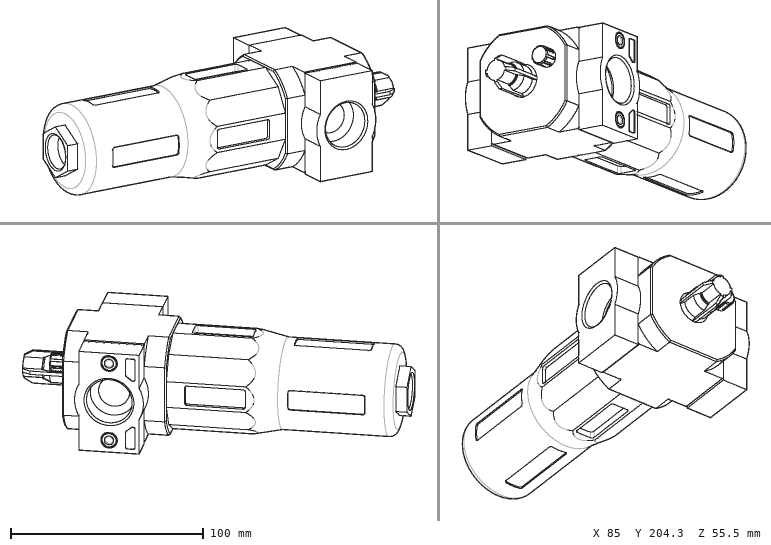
import cadquery as cq
import math


OVERALL_LENGTH = 204.3

HOUSING_SIDE = 55.0
HOUSING_HALF = HOUSING_SIDE / 2
FLAT_HALF = 15.1
EDGE_CHAMFER = 0.8
FLOW_BORE_D = 16.3

OVERALL_WIDTH = 85.0
OVERALL_HEIGHT = 55.5
CONNECTOR_LENGTH = OVERALL_WIDTH / 2 - HOUSING_HALF
CONNECTOR_HALF_WIDTH = 16.0
CONNECTOR_TOP = 27.2
CONNECTOR_BOTTOM = HOUSING_HALF - OVERALL_HEIGHT
COLLAR_D = 36.4
PORT_D = 24.1
PORT_MOUTH_D = 26.4
PORT_DEPTH = 12.3
SEAL_RECESS_D = 29.6

SCREW_OFFSET = 21.5
SCREW_D = 8.5
SCREW_HEAD_D = 7.5
SCREW_HEAD_HEIGHT = 1.0
SCREW_LENGTH = 10.2
SOCKET_D = 5.0
SOCKET_DRILL_D = 3.9
SOCKET_DRILL_DEPTH = 3.0

PLATE_NEAR_Y = -8.8
PLATE_FAR_Y = -13.7
PLATE_TIP_Y = -12.0
PLATE_TOP = 24.7
PLATE_SHOULDER = 15.1
PLATE_TIP = 12.5
PLATE_CORNER_R = 0.8
PLATE_DEPTH = 0.5

GUARD_SIDES = 12
GUARD_FLAT_HALF = 26.8
GUARD_CORNER_R = GUARD_FLAT_HALF / math.cos(math.pi / GUARD_SIDES)
GUARD_D = 48.5
GRIP_END = -69.5
TAPER_END = -85.8
GUARD_END = -146.0
GUARD_END_FILLET = 4.0
WINDOW_WIDTH = 10.8
WINDOW_CORNER_R = 1.2
GRIP_WINDOW = (-69.3, -37.2)
SHELL_WINDOW = (-131.8, -91.1)
POCKET_DEPTH = 2.0

BOWL_D = 46.8
BOWL_END = GUARD_END + GUARD_END_FILLET
HEX_FLATS = 24.1
HEX_END = -152.0
DRAIN_D = 18.0
DRAIN_MOUTH_D = 19.8
DRAIN_DEPTH = 7.2

DOME_TOP = OVERALL_LENGTH + HEX_END
FIN_WIDTH = 18.0
FIN_THICKNESS = 1.8
FIN_CHAMFER_X = 2.7
FIN_CHAMFER_Y = 4.5
DOME_FOOT_R = 8.8
DOME_R = 7.8
DOME_NECK_R = 6.1
STEM_R = 5.5
FOOT_TOP = 29.8
DOME_SHOULDER = 37.5
DOME_NECK = 41.0
NECK_TOP = 41.9

FILLER_X = -15.7
FILLER_Z = 9.8
FILLER_D = 10.0
FILLER_TOP = 35.3
FILLER_CHAMFER = 0.6
GROOVE_COUNT = 8
GROOVE_START_ANGLE = 30
GROOVE_WIDTH = 1.2
GROOVE_DEPTH = 0.6
GROOVE_BASE_GAP = 1.0
GROOVE_FLOOR = HOUSING_HALF + GROOVE_BASE_GAP


def x_cylinder(diameter, x_start, x_end, y=0, z=0):
    """Cylinder along X between two stations."""
    return (
        cq.Workplane("YZ", origin=(x_start, y, z))
        .circle(diameter / 2)
        .extrude(x_end - x_start)
    )


def x_cone(diameter_start, diameter_end, x_start, x_end, y=0, z=0):
    """Cone along +X between two stations."""
    return cq.Workplane(
        cq.Solid.makeCone(
            diameter_start / 2,
            diameter_end / 2,
            x_end - x_start,
            cq.Vector(x_start, y, z),
            cq.Vector(1, 0, 0),
        )
    )


def y_turned(profile):
    """Solid turned about the Y axis from (radius, y) points."""
    return cq.Workplane("XY").polyline(profile).close().revolve(360, (0, 0, 0), (0, 1, 0))


def y_prism(sketch, y_start, y_end):
    """Prism along Y; the sketch callback draws on a plane whose axes are X and Z."""
    plane = cq.Workplane("XZ", origin=(0, y_end, 0))
    return sketch(plane).extrude(y_end - y_start)


def make_housing():
    side = HOUSING_SIDE
    corner_r = math.hypot(HOUSING_HALF, FLAT_HALF)
    rounded = (
        cq.Workplane("XY")
        .box(side, side, side)
        .intersect(y_prism(lambda p: p.circle(corner_r), -HOUSING_HALF, HOUSING_HALF))
        .faces("<Y or >Y")
        .chamfer(EDGE_CHAMFER)
    )
    band = (
        cq.Workplane("XY")
        .box(side, 2 * CONNECTOR_HALF_WIDTH, side)
        .edges("|Y")
        .chamfer(EDGE_CHAMFER)
    )
    bore = x_cylinder(FLOW_BORE_D, -HOUSING_HALF, HOUSING_HALF)
    return rounded.union(band).cut(bore)


def plate_recess():
    """Engraved plate outline at the outer face of the -X connector, above the port."""
    return (
        cq.Workplane("YZ", origin=(-OVERALL_WIDTH / 2, 0, 0))
        .moveTo(PLATE_NEAR_Y, PLATE_TOP)
        .lineTo(PLATE_FAR_Y, PLATE_TOP)
        .lineTo(PLATE_FAR_Y, PLATE_TIP)
        .lineTo(PLATE_TIP_Y, PLATE_TIP)
        .lineTo(PLATE_NEAR_Y, PLATE_SHOULDER)
        .close()
        .extrude(PLATE_DEPTH)
        .edges("|X")
        .fillet(PLATE_CORNER_R)
    )


def make_plain_connector():
    """Connector on the -X side with its collar and threaded port."""
    outer = -OVERALL_WIDTH / 2
    inner = -HOUSING_HALF
    block = cq.Workplane("XY").box(
        CONNECTOR_LENGTH,
        2 * CONNECTOR_HALF_WIDTH,
        CONNECTOR_TOP - CONNECTOR_BOTTOM,
    )
    block = block.translate(((outer + inner) / 2, 0, (CONNECTOR_TOP + CONNECTOR_BOTTOM) / 2))
    mouth_depth = (PORT_MOUTH_D - PORT_D) / 2
    return (
        block.union(x_cylinder(COLLAR_D, outer, inner))
        .cut(x_cylinder(PORT_D, outer, outer + PORT_DEPTH))
        .cut(x_cylinder(SEAL_RECESS_D, outer + PORT_DEPTH, inner))
        .cut(x_cone(PORT_MOUTH_D, PORT_D, outer, outer + mouth_depth))
    )


def make_inlet_connector():
    """The -X connector, with screw holes and number plates."""
    outer = -OVERALL_WIDTH / 2
    connector = make_plain_connector()
    for z in (SCREW_OFFSET, -SCREW_OFFSET):
        connector = connector.cut(x_cylinder(SCREW_D, outer, outer + SCREW_LENGTH, z=z))
    upper_plate = plate_recess()
    lower_plate = upper_plate.mirror("XY").translate((0, 0, CONNECTOR_TOP + CONNECTOR_BOTTOM))
    return connector.cut(upper_plate).cut(lower_plate)


def make_outlet_connector():
    return make_plain_connector().mirror("YZ")


def make_screw(z):
    """Flush connector screw with a narrower head and a conical socket."""
    face = -OVERALL_WIDTH / 2
    shoulder = face + SCREW_HEAD_HEIGHT
    drill_start = face + (SOCKET_D - SOCKET_DRILL_D) / 2
    return (
        x_cylinder(SCREW_D, shoulder, face + SCREW_LENGTH, z=z)
        .union(x_cylinder(SCREW_HEAD_D, face, shoulder, z=z))
        .cut(x_cone(SOCKET_D, SOCKET_DRILL_D, face, drill_start, z=z))
        .cut(x_cone(SOCKET_DRILL_D, 0, drill_start, drill_start + SOCKET_DRILL_DEPTH, z=z))
    )


def hex_drain(y_start):
    """Hexagonal drain boss with corners up and down."""
    return y_prism(
        lambda p: p.transformed(rotate=(0, 0, 90)).polygon(6, HEX_FLATS / math.cos(math.pi / 6)),
        HEX_END,
        y_start,
    )


def make_bowl():
    body = y_prism(lambda p: p.circle(BOWL_D / 2), BOWL_END, -HOUSING_HALF)
    mouth_depth = (DRAIN_MOUTH_D - DRAIN_D) / 2
    drain = y_turned(
        [
            (0, HEX_END),
            (DRAIN_MOUTH_D / 2, HEX_END),
            (DRAIN_D / 2, HEX_END + mouth_depth),
            (DRAIN_D / 2, HEX_END + DRAIN_DEPTH),
            (0, HEX_END + DRAIN_DEPTH),
        ]
    )
    return body.union(hex_drain(BOWL_END)).cut(drain)


def window_cutter(span, floor, angle):
    """Rounded slot cut inwards to a floor height, turned about Y from the +Z side."""
    y_low, y_high = span
    window = (
        cq.Workplane("XY", origin=(0, (y_low + y_high) / 2, floor))
        .rect(WINDOW_WIDTH, y_high - y_low)
        .extrude(GUARD_CORNER_R - floor)
        .edges("|Z")
        .fillet(WINDOW_CORNER_R)
    )
    return window.rotate((0, 0, 0), (0, 1, 0), angle)


def make_guard():
    """Guard sleeve: twelve-sided grip tapering into a round shell with a filleted end."""
    grip = y_prism(
        lambda p: p.transformed(rotate=(0, 0, 180 / GUARD_SIDES)).polygon(GUARD_SIDES, 2 * GUARD_CORNER_R),
        GUARD_END,
        -HOUSING_HALF,
    )
    shell = y_turned(
        [
            (0, -HOUSING_HALF),
            (GUARD_CORNER_R, -HOUSING_HALF),
            (GUARD_CORNER_R, GRIP_END),
            (GUARD_D / 2, TAPER_END),
            (GUARD_D / 2, GUARD_END),
            (0, GUARD_END),
        ]
    )
    shell = shell.faces("<Y").edges().fillet(GUARD_END_FILLET)
    guard = (
        grip.intersect(shell)
        .cut(y_prism(lambda p: p.circle(BOWL_D / 2), BOWL_END, -HOUSING_HALF))
        .cut(hex_drain(BOWL_END))
    )
    for angle in (0, 180):
        guard = guard.cut(window_cutter(GRIP_WINDOW, 0, angle))
    for angle in (90, 270):
        guard = guard.cut(window_cutter(GRIP_WINDOW, GUARD_FLAT_HALF - POCKET_DEPTH, angle))
    for angle in (0, 90, 180, 270):
        guard = guard.cut(window_cutter(SHELL_WINDOW, 0, angle))
    return guard


def make_sight_dome():
    """Stepped dome with four guard fins in a cross."""
    dome = y_turned(
        [
            (0, HOUSING_HALF),
            (DOME_FOOT_R, HOUSING_HALF),
            (DOME_R, FOOT_TOP),
            (DOME_R, DOME_SHOULDER),
            (DOME_NECK_R, DOME_NECK),
            (DOME_NECK_R, NECK_TOP),
            (STEM_R, NECK_TOP),
            (STEM_R, DOME_TOP),
            (0, DOME_TOP),
        ]
    )
    half = FIN_WIDTH / 2
    fins = (
        cq.Workplane("XY")
        .moveTo(-half, HOUSING_HALF)
        .lineTo(half, HOUSING_HALF)
        .lineTo(half, DOME_TOP - FIN_CHAMFER_Y)
        .lineTo(half - FIN_CHAMFER_X, DOME_TOP)
        .lineTo(FIN_CHAMFER_X - half, DOME_TOP)
        .lineTo(-half, DOME_TOP - FIN_CHAMFER_Y)
        .close()
        .extrude(FIN_THICKNESS / 2, both=True)
    )
    return dome.union(fins).union(fins.rotate((0, 0, 0), (0, 1, 0), 90))


def make_filler_screw():
    """Round screw with grip grooves that run out at its top."""
    head = (
        y_prism(lambda p: p.circle(FILLER_D / 2), HOUSING_HALF, FILLER_TOP)
        .faces(">Y")
        .chamfer(FILLER_CHAMFER)
    )
    groove = cq.Workplane("XY").box(
        GROOVE_WIDTH,
        FILLER_TOP - GROOVE_FLOOR,
        2 * GROOVE_DEPTH,
    )
    groove = groove.translate((0, (FILLER_TOP + GROOVE_FLOOR) / 2, FILLER_D / 2))
    for index in range(GROOVE_COUNT):
        angle = GROOVE_START_ANGLE + index * 360 / GROOVE_COUNT
        head = head.cut(groove.rotate((0, 0, 0), (0, 1, 0), angle))
    return head.translate((FILLER_X, 0, FILLER_Z))


housing = make_housing()
inlet_connector = make_inlet_connector()
outlet_connector = make_outlet_connector()
screws = [make_screw(z) for z in (SCREW_OFFSET, -SCREW_OFFSET)]
bowl = make_bowl()
guard = make_guard()
sight_dome = make_sight_dome()
filler_screw = make_filler_screw()

result = cq.Compound.makeCompound(
    [
        housing.val(),
        inlet_connector.val(),
        outlet_connector.val(),
        *[screw.val() for screw in screws],
        bowl.val(),
        guard.val(),
        sight_dome.val(),
        filler_screw.val(),
    ]
)